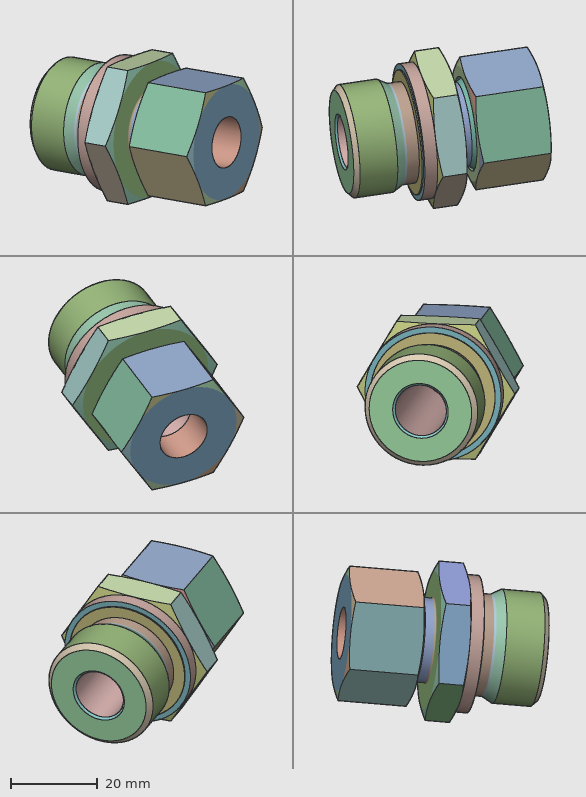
import cadquery as cq
import math


THREAD_END = 10.15
SEAL_FACE = 15.6
FLANGE_FACE = 15.9
HEX_FACE = 18.93
NECK_START = 25.95
NECK_CONE_START = 28.6
NUT_FACE = 29.45
STUB_END = 37.65
NUT_END = 46.5

BORE_DIA = 12.0
THREAD_DIA = 26.45
RELIEF_DIA = 23.7
SEAL_DIA = 29.2
FLANGE_DIA = 31.9
HEX_FLATS = 32.0
NECK_DIA = 19.6
STUB_DIA = 22.05
NUT_FLATS = 27.0

STUD_CHAMFER = 1.2
BORE_CHAMFER = 0.5
NECK_FILLET = 0.4
RELIEF_FILLET = 1.1
CONE_ANGLE = math.radians(30)
HEX_CHAMFER_ANGLE = math.radians(15)
SEAL_RECESS_DEPTH = 1.5


def cylinder(start, end, diameter):
    """Round bar along X between two positions."""
    return cq.Workplane("YZ", origin=(start, 0, 0)).circle(diameter / 2).extrude(end - start)


def tube(start, end, outer_dia, inner_dia):
    """Ring along X between two positions."""
    return cylinder(start, end, outer_dia).cut(cylinder(start, end, inner_dia))


def chamfered_hexagon(start, end, flats, chamfer_dia):
    """Hexagonal prism with corners on the Y axis, both ends turned down by a shallow cone."""
    corner_dia = flats / math.cos(math.pi / 6)
    corner_radius = corner_dia / 2
    prism = cq.Workplane("YZ", origin=(start, 0, 0)).polygon(6, corner_dia).extrude(end - start)
    chamfer_length = (corner_radius - chamfer_dia / 2) * math.tan(HEX_CHAMFER_ANGLE)
    envelope = (
        cq.Workplane("XY")
        .moveTo(start, 0)
        .lineTo(start, chamfer_dia / 2)
        .lineTo(start + chamfer_length, corner_radius)
        .lineTo(end - chamfer_length, corner_radius)
        .lineTo(end, chamfer_dia / 2)
        .lineTo(end, 0)
        .close()
        .revolve(360, (0, 0, 0), (1, 0, 0))
    )
    return prism.intersect(envelope)


def turned_core():
    """Turned profile of the fitting: stud, relief, flange, neck and the stub inside the nut."""
    thread_radius = THREAD_DIA / 2
    relief_radius = RELIEF_DIA / 2
    neck_radius = NECK_DIA / 2
    stub_radius = STUB_DIA / 2

    run_out_end = THREAD_END + (thread_radius - relief_radius) / math.tan(CONE_ANGLE)
    tangent = RELIEF_FILLET * math.tan(CONE_ANGLE / 2)
    fillet_start = (
        run_out_end - tangent * math.cos(CONE_ANGLE),
        relief_radius + tangent * math.sin(CONE_ANGLE),
    )
    fillet_end = (run_out_end + tangent, relief_radius)
    neck_cone_end = NECK_CONE_START + (stub_radius - neck_radius) / math.tan(CONE_ANGLE)

    return (
        cq.Workplane("XY")
        .lineTo(0, thread_radius - STUD_CHAMFER)
        .lineTo(STUD_CHAMFER, thread_radius)
        .lineTo(THREAD_END, thread_radius)
        .lineTo(*fillet_start)
        .tangentArcPoint(fillet_end, relative=False)
        .lineTo(FLANGE_FACE, relief_radius)
        .lineTo(FLANGE_FACE, FLANGE_DIA / 2)
        .lineTo(NECK_START, FLANGE_DIA / 2)
        .lineTo(NECK_START, neck_radius + NECK_FILLET)
        .tangentArcPoint((NECK_START + NECK_FILLET, neck_radius), relative=False)
        .lineTo(NECK_CONE_START, neck_radius)
        .lineTo(neck_cone_end, stub_radius)
        .lineTo(STUB_END, stub_radius)
        .lineTo(STUB_END, 0)
        .close()
        .revolve(360, (0, 0, 0), (1, 0, 0))
    )


def bore_countersink():
    """Cone that breaks the edge of the bore at the stud end."""
    mouth_radius = BORE_DIA / 2 + BORE_CHAMFER
    return (
        cq.Workplane("XY")
        .lineTo(0, mouth_radius)
        .lineTo(mouth_radius, 0)
        .close()
        .revolve(360, (0, 0, 0), (1, 0, 0))
    )


def make_seal_ring():
    """Flat seal that stands slightly proud of its recess in the flange."""
    return tube(SEAL_FACE, FLANGE_FACE + SEAL_RECESS_DEPTH, SEAL_DIA, RELIEF_DIA)


def make_fitting():
    """Stud fitting with hexagon, through bore and recess for the seal."""
    hexagon = chamfered_hexagon(HEX_FACE, NECK_START, HEX_FLATS, FLANGE_DIA)
    recess = tube(FLANGE_FACE, FLANGE_FACE + SEAL_RECESS_DEPTH, SEAL_DIA, RELIEF_DIA)
    return (
        turned_core()
        .union(hexagon)
        .cut(recess)
        .cut(cylinder(0, STUB_END, BORE_DIA))
        .cut(bore_countersink())
    )


def make_nut():
    """Union nut: a socket over the stub of the fitting, then the through bore."""
    return (
        chamfered_hexagon(NUT_FACE, NUT_END, NUT_FLATS, NUT_FLATS)
        .cut(cylinder(NUT_FACE, STUB_END, STUB_DIA))
        .cut(cylinder(STUB_END, NUT_END, BORE_DIA))
    )


fitting = make_fitting()
seal_ring = make_seal_ring()
nut = make_nut()

result = cq.Compound.makeCompound([body.solids().val() for body in (fitting, seal_ring, nut)])